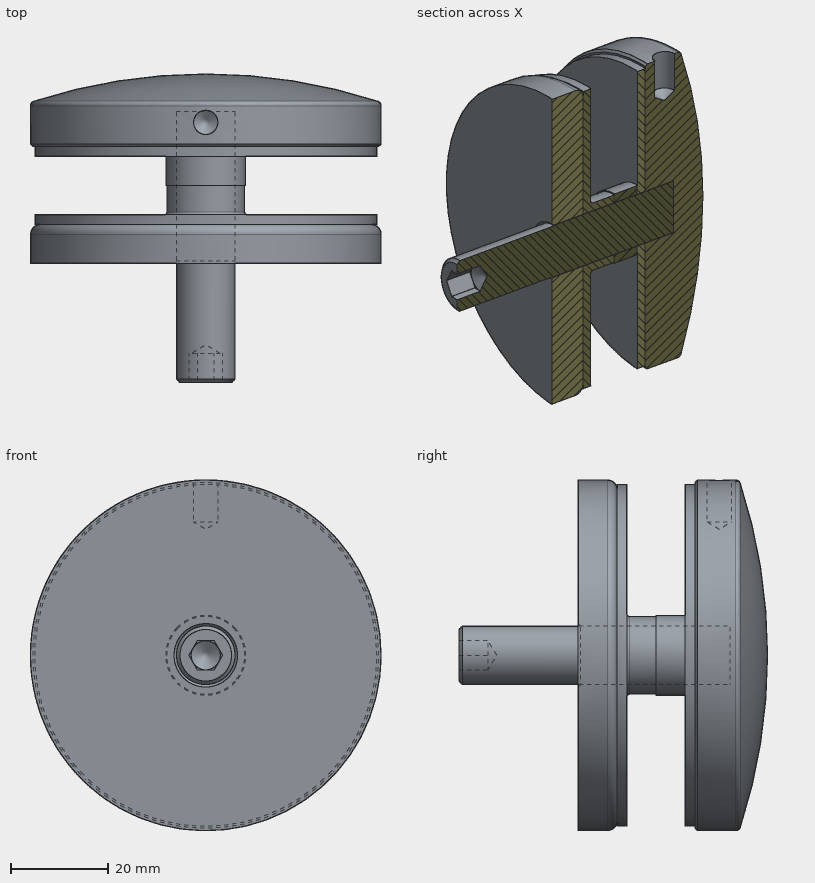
import cadquery as cq
import math

outer_diameter = 72.0
overall_length = 63.35

base_thickness = 8.0
base_edge_radius = 2.0
base_bore_chamfer = 0.5

gasket_diameter = 70.2
gasket_thickness = 2.0
collar_diameter = 16.0
collar_length = 6.0
collar_root_radius = 0.5

sleeve_diameter = 16.4
sleeve_length = 6.0

cap_rim_height = 9.1
cap_lower_chamfer = 0.5
cap_upper_radius = 1.0

stud_diameter = 12.0
stud_chamfer = 0.7
stud_projection = 24.5
stud_engagement = 7.2

hex_across_flats = 6.0
hex_depth = 6.0
drill_point_angle = 118.0

side_hole_diameter = 5.0
side_hole_depth = 8.65
side_hole_height = 5.0

stud_tip = -overall_length / 2
base_face = stud_tip + stud_projection
base_gasket_start = base_face + base_thickness
collar_start = base_gasket_start + gasket_thickness
sleeve_start = collar_start + collar_length
cap_gasket_start = sleeve_start + sleeve_length
cap_start = cap_gasket_start + gasket_thickness
cap_rim_end = cap_start + cap_rim_height
cap_crown = overall_length / 2
stud_end = cap_start + stud_engagement

outer_radius = outer_diameter / 2


def cylinder(diameter, start, end):
    """Solid cylinder about the Y axis between two stations."""
    return cq.Workplane("XZ", origin=(0, start, 0)).circle(diameter / 2).extrude(start - end)


def ring(diameter, start, end):
    """Cylinder with a bore that fits the stud."""
    return cylinder(diameter, start, end).cut(cylinder(stud_diameter, start, end))


def point_length(diameter):
    """Length of the conical point left by a drill of this diameter."""
    return diameter / 2 / math.tan(math.radians(drill_point_angle / 2))


def make_base():
    """Disc with a rounded inner rim and a chamfered bore."""
    disc = cylinder(outer_diameter, base_face, base_gasket_start)
    disc = disc.faces(">Y").edges().fillet(base_edge_radius)
    disc = disc.cut(cylinder(stud_diameter, base_face, base_gasket_start))
    return disc.faces("<Y").edges(cq.selectors.RadiusNthSelector(0)).chamfer(base_bore_chamfer)


def make_base_gasket():
    """Flat gasket with a collar standing on it, rounded at the root."""
    gasket = cylinder(gasket_diameter, base_gasket_start, collar_start)
    gasket = gasket.union(cylinder(collar_diameter, collar_start, sleeve_start))
    collar_root = cq.selectors.RadiusNthSelector(0)
    gasket = gasket.faces("%PLANE").faces(">Y[-2]").edges(collar_root).fillet(collar_root_radius)
    return gasket.cut(cylinder(stud_diameter, base_gasket_start, sleeve_start))


def make_sleeve():
    """Plain spacer between the collar and the cap gasket."""
    return ring(sleeve_diameter, sleeve_start, cap_gasket_start)


def make_cap_gasket():
    """Plain flat gasket under the cap."""
    return ring(gasket_diameter, cap_gasket_start, cap_start)


def make_side_hole():
    """Radial blind hole with a drill point, entering the rim from +Z."""
    radius = side_hole_diameter / 2
    floor = outer_radius - side_hole_depth
    tip = floor - point_length(side_hole_diameter)
    profile = [(0, tip), (radius, floor), (radius, outer_radius), (0, outer_radius)]
    hole = cq.Workplane("XZ").polyline(profile).close().revolve(360, (0, 0), (0, 1))
    return hole.translate((0, cap_start + side_hole_height, 0))


def make_cap():
    """Domed cap with a blind bore for the stud and a spanner hole in its rim."""
    dome_rise = cap_crown - cap_rim_end
    dome_radius = (outer_radius**2 + dome_rise**2) / (2 * dome_rise)
    half_angle = math.asin(outer_radius / dome_radius) / 2
    dome_middle = (
        dome_radius * math.sin(half_angle),
        cap_crown - dome_radius * (1 - math.cos(half_angle)),
    )
    cap = (
        cq.Workplane("XY")
        .moveTo(0, cap_start)
        .lineTo(outer_radius - cap_lower_chamfer, cap_start)
        .lineTo(outer_radius, cap_start + cap_lower_chamfer)
        .lineTo(outer_radius, cap_rim_end)
        .threePointArc(dome_middle, (0, cap_crown))
        .close()
        .revolve(360, (0, 0), (0, 1))
    )
    rim_edge = cq.selectors.NearestToPointSelector((0, cap_rim_end, 0))
    cap = cap.edges("%CIRCLE").edges(rim_edge).fillet(cap_upper_radius)
    return cap.cut(cylinder(stud_diameter, cap_start, stud_end)).cut(make_side_hole())


def make_stud():
    """Round stud, chamfered at its free end, with a hexagon socket ending in a drill point."""
    stud = cylinder(stud_diameter, stud_tip, stud_end)
    stud = stud.faces("<Y").edges().chamfer(stud_chamfer)
    hex_floor = stud_tip + hex_depth
    corner_diameter = hex_across_flats / math.cos(math.pi / 6)
    hexagon = cq.Workplane("XZ", origin=(0, stud_tip, 0)).polygon(6, corner_diameter).extrude(-hex_depth)
    drill_point = (
        cq.Workplane("XY")
        .polyline([
            (0, hex_floor),
            (hex_across_flats / 2, hex_floor),
            (0, hex_floor + point_length(hex_across_flats)),
        ])
        .close()
        .revolve(360, (0, 0), (0, 1))
    )
    return stud.cut(hexagon).cut(drill_point)


base = make_base()
base_gasket = make_base_gasket()
sleeve = make_sleeve()
cap_gasket = make_cap_gasket()
cap = make_cap()
stud = make_stud()

result = cq.Compound.makeCompound([
    base.val(),
    base_gasket.val(),
    sleeve.val(),
    cap_gasket.val(),
    cap.val(),
    stud.val(),
])